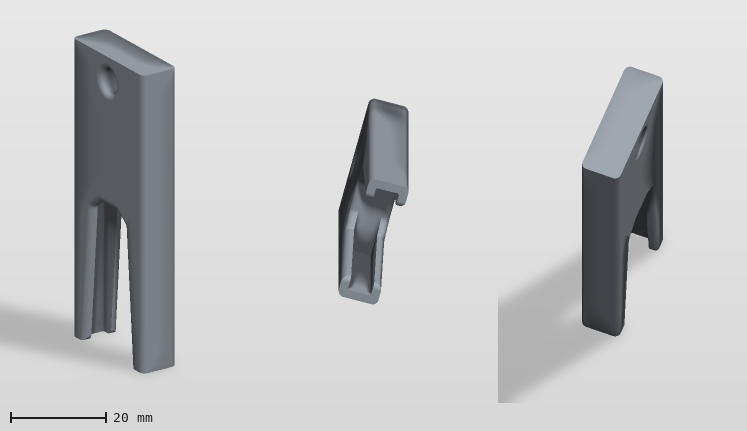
import cadquery as cq

WIDTH = 26.33
THICKNESS = 8.61
HEIGHT = 67.39
TOP_Z = HEIGHT / 2
BOTTOM_Z = -TOP_Z

EDGE_RADIUS = 1.3

HOLE_DIAMETER = 5.6
HOLE_FROM_TOP = 5.65
HOLE_Z = TOP_Z - HOLE_FROM_TOP

CREST_Z = -0.04
CREST_HALF_WIDTH = 3.1
SHOULDER_Z = -2.45
SHOULDER_HALF_WIDTH = 6.25
MOUTH_HALF_WIDTH = 8.75

CHANNEL_HALF_WIDTH = 11.4
LIP_THICKNESS = 1.8
CHANNEL_WIDTH_Y = THICKNESS - 2 * LIP_THICKNESS
CHANNEL_CORNER_RADIUS = 0.4

MARGIN = 0.2


def block():
    body = cq.Workplane("XY").box(WIDTH, THICKNESS, HEIGHT)
    return body.edges("|Z").fillet(EDGE_RADIUS)


def drill_hole(body):
    """Through hole with its front and back rims rounded."""
    drilled = body.faces("<Y").workplane(origin=(0, 0, HOLE_Z)).hole(HOLE_DIAMETER)
    return drilled.faces("<Y or >Y").edges("%CIRCLE").fillet(EDGE_RADIUS)


def arch_prism():
    """Slot volume through the thickness, with its four upper corners rounded."""
    right_side = [
        (CREST_HALF_WIDTH, CREST_Z),
        (SHOULDER_HALF_WIDTH, SHOULDER_Z),
        (MOUTH_HALF_WIDTH, BOTTOM_Z),
    ]
    left_side = [(-x, z) for x, z in reversed(right_side)]
    outline = cq.Workplane("XZ").polyline(right_side + left_side).close()
    prism = outline.extrude(THICKNESS / 2, both=True)
    upper_corners = cq.selectors.BoxSelector(
        (-WIDTH, -THICKNESS, SHOULDER_Z - MARGIN),
        (WIDTH, THICKNESS, CREST_Z + MARGIN),
    )
    return prism.edges("|Y").edges(upper_corners).fillet(EDGE_RADIUS)


def cut_arch(body):
    """Slot with the rims on the front and back faces rounded."""
    slotted = body.cut(arch_prism())
    inside_arch = cq.selectors.BoxSelector(
        (-MOUTH_HALF_WIDTH, -THICKNESS, BOTTOM_Z + MARGIN),
        (MOUTH_HALF_WIDTH, THICKNESS, CREST_Z + MARGIN),
    )
    return slotted.faces("<Y or >Y").edges(inside_arch).fillet(EDGE_RADIUS)


def round_tips(body):
    """Round the inner bottom corner of each leg straight through the thickness."""
    below = cq.Workplane("XY", origin=(0, 0, BOTTOM_Z)).rect(WIDTH, THICKNESS).extrude(-2 * EDGE_RADIUS)
    mouth_corners = cq.selectors.BoxSelector(
        (-MOUTH_HALF_WIDTH - MARGIN, -THICKNESS, BOTTOM_Z - MARGIN),
        (MOUTH_HALF_WIDTH + MARGIN, THICKNESS, BOTTOM_Z + MARGIN),
    )
    cutter = arch_prism().union(below).edges("|Y").edges(mouth_corners).fillet(EDGE_RADIUS)
    return body.cut(cutter)


def cut_channel(body):
    """Straight channel up to the crest of the arch, grooving the inner side of both legs."""
    base = cq.Workplane("XY", origin=(0, 0, BOTTOM_Z)).rect(2 * CHANNEL_HALF_WIDTH, CHANNEL_WIDTH_Y)
    cutter = base.extrude(CREST_Z - BOTTOM_Z).edges("|Z").fillet(CHANNEL_CORNER_RADIUS)
    return body.cut(cutter)


body = drill_hole(block())
body = cut_arch(body)
body = round_tips(body)
result = cut_channel(body)